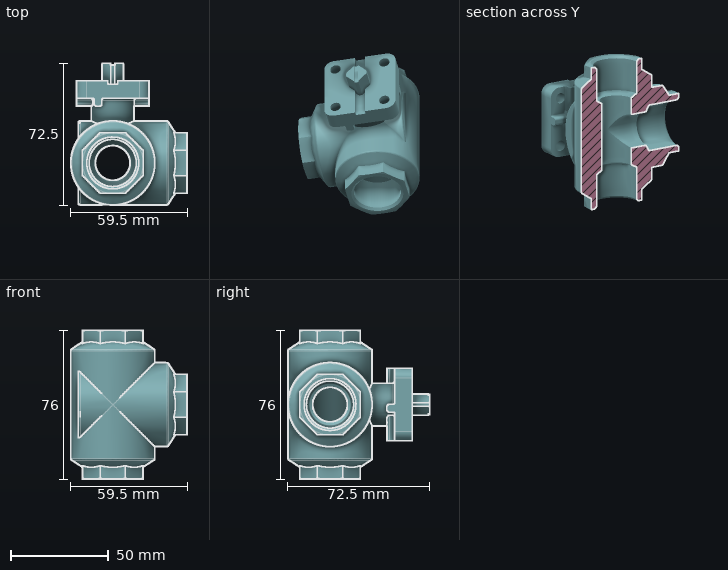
import cadquery as cq
import math


body_diameter = 43.0
port_length = 38.0
shoulder_start = 28.05
shoulder_rise = 3.95
blind_end = 17.6
shoulder_round = 1.0
blind_end_round = 1.0
nut_flats = 31.0
nut_corner_bevel = 15.0
bore_diameter = 17.6
thread_diameter = 24.1
thread_mouth_diameter = 26.5
thread_depth = 18.25
bore_cone_angle = 30.0

flange_side = 37.2
flange_corner = 5.0
flange_back = 33.0
flange_face = 42.0
bolt_circle = 36.0
bolt_hole = 5.5
key_slot_width = 5.2
key_slot_depth = 2.0
key_slot_round = 0.75

neck_diameter = 22.0
neck_fillet = 0.9
rib_width = 4.0
rib_end = 29.0
rib_edge_round = 1.2
rib_root_round = 0.7
vertical_rib_offset = 7.5
horizontal_rib_offset = 1.8

stem_flats = 9.0
stem_diameter = 11.0
stem_end = 51.0
stem_tip_round = 0.7
stem_slot_width = 2.1
stem_slot_depth = 0.9

body_radius = body_diameter / 2
eighth_turn = 45.0


def cylinder_along_y(diameter, start, end):
    """Cylinder on the Y axis between two Y positions."""
    return cq.Workplane("XZ", origin=(0, start, 0)).circle(diameter / 2).extrude(start - end)


def box_along_y(width, height, start, end):
    """Rectangular block on the Y axis between two Y positions."""
    return cq.Workplane("XZ", origin=(0, start, 0)).rect(width, height).extrude(start - end)


def port_nut():
    """Octagonal nut along +Z with its end corners bevelled."""
    corner_diameter = nut_flats / math.cos(math.pi / 8)
    bevel_height = (corner_diameter - nut_flats) / 2 * math.tan(math.radians(nut_corner_bevel))
    octagon = (
        cq.Workplane("XY")
        .polygon(8, corner_diameter)
        .extrude(port_length)
        .rotate((0, 0, 0), (0, 0, 1), eighth_turn / 2)
    )
    envelope = (
        cq.Workplane("XZ")
        .lineTo(corner_diameter / 2, 0)
        .lineTo(corner_diameter / 2, port_length - bevel_height)
        .lineTo(nut_flats / 2, port_length)
        .lineTo(0, port_length)
        .close()
        .revolve(360, (0, 0), (0, 1))
    )
    return octagon.intersect(envelope)


def barrel(blind_length=0.0):
    """Body barrel along +Z with a rounded, tapered shoulder; the far end is at -blind_length."""
    shape = (
        cq.Workplane("XZ")
        .moveTo(0, -blind_length)
        .lineTo(body_radius, -blind_length)
        .lineTo(body_radius, shoulder_start)
        .lineTo(nut_flats / 2, shoulder_start + shoulder_rise)
        .lineTo(0, shoulder_start + shoulder_rise)
        .close()
        .revolve(360, (0, 0), (0, 1))
    )
    shape = shape.faces("%CYLINDER").edges(">Z").fillet(shoulder_round)
    if blind_length > 0:
        shape = shape.faces("<Z").edges().fillet(blind_end_round)
    return shape


def port_bore():
    """Bore along +Z: entry chamfer, thread hole, cone and through bore."""
    mouth_chamfer = (thread_mouth_diameter - thread_diameter) / 2
    cone_length = (thread_diameter - bore_diameter) / 2 * math.tan(math.radians(bore_cone_angle))
    thread_bottom = port_length - thread_depth
    return (
        cq.Workplane("XZ")
        .lineTo(bore_diameter / 2, 0)
        .lineTo(bore_diameter / 2, thread_bottom - cone_length)
        .lineTo(thread_diameter / 2, thread_bottom)
        .lineTo(thread_diameter / 2, port_length - mouth_chamfer)
        .lineTo(thread_mouth_diameter / 2, port_length)
        .lineTo(0, port_length)
        .close()
        .revolve(360, (0, 0), (0, 1))
    )


def downward(shape):
    """Turn a +Z port shape to point along -Z."""
    return shape.rotate((0, 0, 0), (1, 0, 0), 180)


def sideways(shape):
    """Turn a +Z port shape to point along +X."""
    return shape.rotate((0, 0, 0), (0, 1, 0), 90)


def flange_plate():
    """Square flange with rounded corners, four bolt holes and a key slot along Z."""
    bolt_spacing = bolt_circle / math.sqrt(2)
    plate = box_along_y(flange_side, flange_side, flange_back, flange_face)
    plate = plate.edges("|Y").fillet(flange_corner)
    holes = (
        cq.Workplane("XZ", origin=(0, flange_back, 0))
        .rect(bolt_spacing, bolt_spacing, forConstruction=True)
        .vertices()
        .circle(bolt_hole / 2)
        .extrude(flange_back - flange_face)
    )
    slot = (
        box_along_y(key_slot_width, flange_side, flange_face - key_slot_depth, flange_face)
        .faces("<Y")
        .edges("|Z")
        .fillet(key_slot_round)
    )
    return plate.cut(holes).cut(slot)


def rib(offset, turn):
    """Round-edged rib from the neck axis to the +Z flange edge, shifted along X, then turned about Y."""
    half = rib_width / 2
    root = half + rib_root_round
    blend = rib_root_round * (1 - math.sqrt(0.5))
    tip = half - rib_edge_round
    round_mid = rib_edge_round * math.sqrt(0.5)
    round_start = rib_end + rib_edge_round
    return (
        cq.Workplane("XY")
        .moveTo(-root, flange_back)
        .threePointArc((-half - blend, flange_back - blend), (-half, flange_back - rib_root_round))
        .lineTo(-half, round_start)
        .threePointArc((-tip - round_mid, round_start - round_mid), (-tip, rib_end))
        .lineTo(tip, rib_end)
        .threePointArc((tip + round_mid, round_start - round_mid), (half, round_start))
        .lineTo(half, flange_back - rib_root_round)
        .threePointArc((half + blend, flange_back - blend), (root, flange_back))
        .close()
        .extrude(flange_side / 2)
        .translate((offset, 0, 0))
        .rotate((0, 0, 0), (0, 1, 0), turn)
    )


def neck():
    """Neck from the body to the flange, flared where it meets the flange."""
    radius = neck_diameter / 2
    blend = neck_fillet * (1 - math.sqrt(0.5))
    return (
        cq.Workplane("XY")
        .lineTo(radius, 0)
        .lineTo(radius, flange_back - neck_fillet)
        .threePointArc((radius + blend, flange_back - blend), (radius + neck_fillet, flange_back))
        .lineTo(0, flange_back)
        .close()
        .revolve(360, (0, 0), (0, 1))
    )


def stem():
    """Square stem on edge: corners trimmed round, tip rounded, indicator slot along Z in its end."""
    square = box_along_y(stem_flats, stem_flats, flange_back, stem_end)
    square = square.rotate((0, 0, 0), (0, 1, 0), eighth_turn)
    trim = cylinder_along_y(stem_diameter, flange_back, stem_end).faces(">Y").edges().fillet(stem_tip_round)
    slot = box_along_y(stem_slot_width, stem_diameter, stem_end - stem_slot_depth, stem_end)
    return square.intersect(trim).cut(slot)


vertical_barrel = barrel().union(downward(barrel()))
body = vertical_barrel.union(sideways(barrel(blind_end)))
for nut in (port_nut(), downward(port_nut()), sideways(port_nut())):
    body = body.union(nut)

body = body.union(neck()).union(flange_plate())
for half_turn in (0, 180):
    body = body.union(rib(-vertical_rib_offset, half_turn))
    body = body.union(rib(horizontal_rib_offset, half_turn - 90))
body = body.union(stem())

for bore in (port_bore(), downward(port_bore()), sideways(port_bore())):
    body = body.cut(bore)

result = body